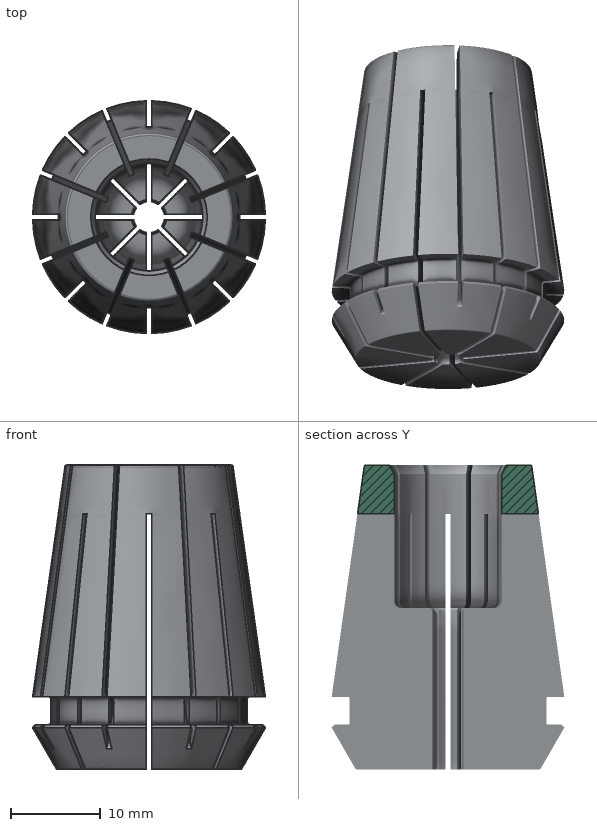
import cadquery as cq
import math

length = 34.0
max_radius = 13.0
taper_angle = 8.0
nose_angle = 30.0

groove_bottom = 5.0
groove_top = 8.1
groove_radius = 11.0
groove_corner_radius = 0.2
nose_rim_chamfer = 0.35
top_edge_radius = 0.25
bottom_edge_radius = 0.2

clamp_bore_radius = 1.75
clamp_bore_chamfer = 0.2
relief_bore_radius = 6.0
relief_floor = 18.0
relief_fillet = 0.8
mouth_radius = 6.5
mouth_depth = 1.0

slots_per_end = 8
slot_spacing = 360.0 / slots_per_end
slot_width = 0.6
bottom_slot_top = 28.55
top_slot_exit_height = 2.3
top_slot_floor_angle = 22.8
overcut = 1.0

nose_rim_height = groove_bottom - nose_rim_chamfer
nose_slope = math.tan(math.radians(nose_angle))
nose_base_radius = max_radius - nose_rim_height * nose_slope
top_radius = max_radius - (length - groove_top) * math.tan(math.radians(taper_angle))


def make_body():
    """Revolve the outer profile: nose cone, groove and long clamping cone."""
    profile = (
        cq.Workplane("XZ")
        .lineTo(nose_base_radius, 0)
        .lineTo(max_radius, nose_rim_height)
        .lineTo(max_radius - nose_rim_chamfer, groove_bottom)
        .lineTo(groove_radius + groove_corner_radius, groove_bottom)
        .radiusArc((groove_radius, groove_bottom + groove_corner_radius), groove_corner_radius)
        .lineTo(groove_radius, groove_top - groove_corner_radius)
        .radiusArc((groove_radius + groove_corner_radius, groove_top), groove_corner_radius)
        .lineTo(max_radius, groove_top)
        .lineTo(top_radius, length)
        .lineTo(0, length)
        .close()
    )
    body = profile.revolve(360, (0, 0, 0), (0, 1, 0))
    body = body.faces(">Z").edges().fillet(top_edge_radius)
    return body.faces("<Z").edges().fillet(bottom_edge_radius)


def make_bore():
    """Revolve the stepped bore: clamping bore, filleted relief and flared mouth."""
    fillet_end_radius = relief_bore_radius - relief_fillet
    return (
        cq.Workplane("XZ")
        .moveTo(0, -overcut)
        .lineTo(clamp_bore_radius, -overcut)
        .lineTo(clamp_bore_radius, relief_floor - clamp_bore_chamfer)
        .lineTo(clamp_bore_radius + clamp_bore_chamfer, relief_floor)
        .lineTo(fillet_end_radius, relief_floor)
        .radiusArc((relief_bore_radius, relief_floor + relief_fillet), -relief_fillet)
        .lineTo(relief_bore_radius, length - mouth_depth)
        .lineTo(mouth_radius, length)
        .lineTo(0, length)
        .close()
        .revolve(360, (0, 0, 0), (0, 1, 0))
    )


def make_bottom_slot():
    """Slot along +X, open at the nose and running from the bore through the wall."""
    return cq.Workplane("XY").box(
        max_radius + overcut, slot_width, bottom_slot_top, centered=(False, True, False)
    )


def make_top_slot():
    """Slot along +X, open at the top, whose floor slants down and outwards."""
    exit_radius = nose_base_radius + top_slot_exit_height * nose_slope
    floor_slope = math.tan(math.radians(top_slot_floor_angle))
    outer_radius = max_radius + overcut
    inner_radius = exit_radius - (relief_floor - top_slot_exit_height) * floor_slope
    outer_height = top_slot_exit_height - (outer_radius - exit_radius) / floor_slope
    return (
        cq.Workplane("XZ")
        .moveTo(inner_radius, relief_floor)
        .lineTo(outer_radius, outer_height)
        .lineTo(outer_radius, length + overcut)
        .lineTo(inner_radius, length + overcut)
        .close()
        .extrude(slot_width / 2, both=True)
    )


def cut_slot_ring(body, slot, first_angle):
    """Cut copies of a slot evenly around the Z axis."""
    for index in range(slots_per_end):
        angle = first_angle + index * slot_spacing
        body = body.cut(slot.rotate((0, 0, 0), (0, 0, 1), angle))
    return body


collet = make_body().cut(make_bore())
collet = cut_slot_ring(collet, make_bottom_slot(), 0)
result = cut_slot_ring(collet, make_top_slot(), slot_spacing / 2)